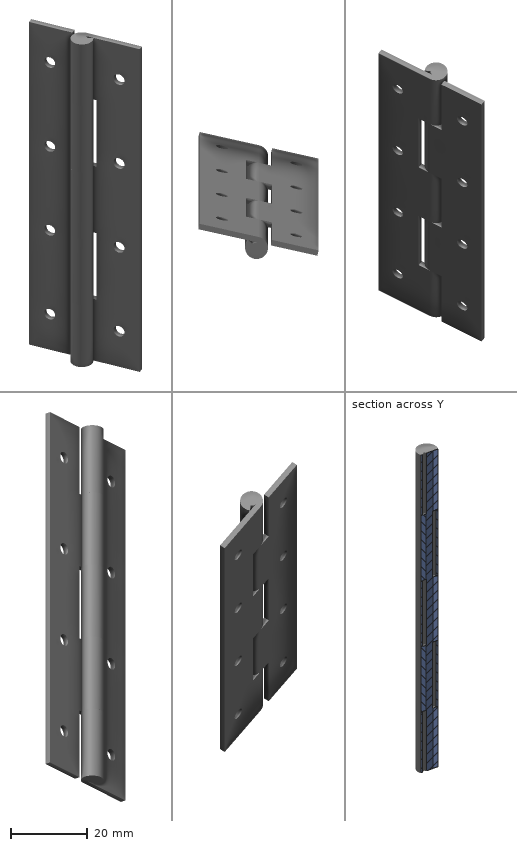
import cadquery as cq
import math

length = 100.0
open_width = 32.0
thickness = 1.5
half_width = open_width / 2

pin_radius = 1.5
knuckle_radius = pin_radius + thickness
side_clearance = 0.5
leaf_edge = knuckle_radius + side_clearance
end_knuckle_length = 19.1
inner_knuckle_count = 3
inner_knuckle_length = (length - 2 * end_knuckle_length) / inner_knuckle_count

curl_end_angle = math.radians(28)

hole_diameter = 3.2
hole_offset = 10.0
hole_count = 4
hole_pitch = 26.0
first_hole_height = (length - (hole_count - 1) * hole_pitch) / 2

joint_heights = [end_knuckle_length + i * inner_knuckle_length for i in range(inner_knuckle_count + 1)]
knuckle_ends = [0.0] + joint_heights + [length]
knuckle_spans = list(zip(knuckle_ends[:-1], knuckle_ends[1:]))


def make_knuckle(bottom, top):
    """Strip of leaf rolled around the pin, with its leaf on the +X side."""
    end_x = math.cos(curl_end_angle)
    end_y = math.sin(curl_end_angle)
    middle_angle = (math.radians(90 + 360) + curl_end_angle) / 2
    middle_x = math.cos(middle_angle)
    middle_y = math.sin(middle_angle)
    profile = (
        cq.Workplane("XY", origin=(0, 0, bottom))
        .moveTo(leaf_edge, knuckle_radius)
        .lineTo(0, knuckle_radius)
        .threePointArc(
            (knuckle_radius * middle_x, knuckle_radius * middle_y),
            (knuckle_radius * end_x, knuckle_radius * end_y),
        )
        .lineTo(pin_radius * end_x, pin_radius * end_y)
        .threePointArc((pin_radius * middle_x, pin_radius * middle_y), (0, pin_radius))
        .lineTo(leaf_edge, pin_radius)
        .close()
    )
    return profile.extrude(top - bottom)


def make_leaf(spans):
    """Leaf on the +X side, with screw holes and one knuckle for each height span."""
    leaf = cq.Workplane("XY").box(half_width - leaf_edge, thickness, length, centered=False)
    leaf = leaf.translate((leaf_edge, pin_radius, 0))
    for bottom, top in spans:
        leaf = leaf.union(make_knuckle(bottom, top))
    hole_centers = [(hole_offset, first_hole_height + i * hole_pitch) for i in range(hole_count)]
    holes = (
        cq.Workplane("XZ", origin=(0, knuckle_radius, 0))
        .pushPoints(hole_centers)
        .circle(hole_diameter / 2)
        .extrude(thickness)
    )
    return leaf.cut(holes)


right_leaf = make_leaf(knuckle_spans[0::2])
left_leaf = make_leaf(knuckle_spans[1::2]).mirror("YZ")
pin = cq.Workplane("XY").circle(pin_radius).extrude(length)

result = cq.Compound.makeCompound([right_leaf.solids().val(), left_leaf.solids().val(), pin.val()])